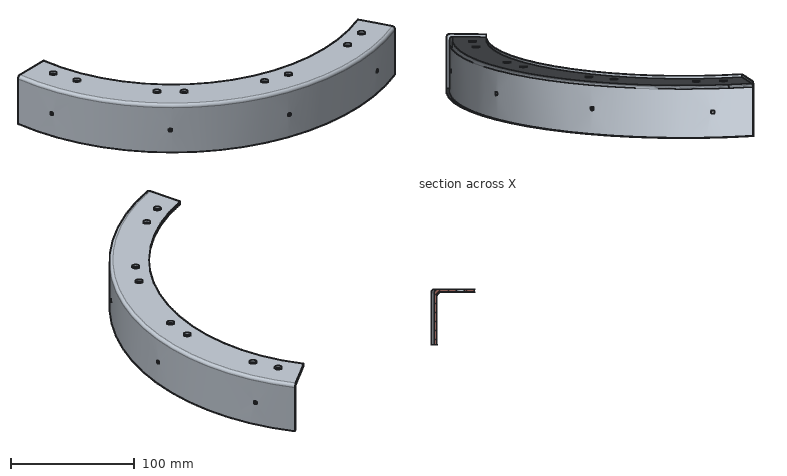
import cadquery as cq
import math

outer_radius = 192.5
flange_inner_radius = 160.5
height = 45.0
thickness = 2.5
outer_bend_radius = 2.7
inner_bend_radius = 2.5

start_angle = -85
end_angle = 25

station_angles = (-75, -45, -15, 15)
flange_hole_radius = 171.5
flange_hole_spacing = 22.0
flange_hole_diameter = 6.0
wall_hole_diameter = 3.0
wall_hole_height = 21.0

wall_inner_radius = outer_radius - thickness
flange_underside = height - thickness

half_pair_angle = math.asin(flange_hole_spacing / 2 / flange_hole_radius)


def curved_angle():
    """Revolve the L-shaped section with its bend rounded inside and out."""
    diagonal = math.sqrt(0.5)
    outer_center_x = outer_radius - outer_bend_radius
    outer_center_z = height - outer_bend_radius
    inner_center_x = wall_inner_radius - inner_bend_radius
    inner_center_z = flange_underside - inner_bend_radius
    outer_mid = (
        outer_center_x + outer_bend_radius * diagonal,
        outer_center_z + outer_bend_radius * diagonal,
    )
    inner_mid = (
        inner_center_x + inner_bend_radius * diagonal,
        inner_center_z + inner_bend_radius * diagonal,
    )
    section = (
        cq.Workplane("XZ")
        .moveTo(wall_inner_radius, 0)
        .lineTo(outer_radius, 0)
        .lineTo(outer_radius, outer_center_z)
        .threePointArc(outer_mid, (outer_center_x, height))
        .lineTo(flange_inner_radius, height)
        .lineTo(flange_inner_radius, flange_underside)
        .lineTo(inner_center_x, flange_underside)
        .threePointArc(inner_mid, (wall_inner_radius, inner_center_z))
        .close()
    )
    swept = section.revolve(end_angle - start_angle, (0, 0, 0), (0, 1, 0))
    return swept.rotate((0, 0, 0), (0, 0, 1), start_angle)


def station_cutters(angle):
    """Two vertical flange holes and one radial wall hole at a station."""
    hole_x = flange_hole_radius * math.cos(half_pair_angle)
    hole_y = flange_hole_spacing / 2
    flange_holes = (
        cq.Workplane("XY", origin=(0, 0, flange_underside))
        .pushPoints([(hole_x, -hole_y), (hole_x, hole_y)])
        .circle(flange_hole_diameter / 2)
        .extrude(thickness)
    )
    wall_hole = (
        cq.Workplane("YZ", origin=(flange_inner_radius, 0, wall_hole_height))
        .circle(wall_hole_diameter / 2)
        .extrude(outer_radius - flange_inner_radius + thickness)
    )
    cutters = flange_holes.add(wall_hole).combine()
    return cutters.rotate((0, 0, 0), (0, 0, 1), angle)


result = curved_angle()
for station_angle in station_angles:
    result = result.cut(station_cutters(station_angle))